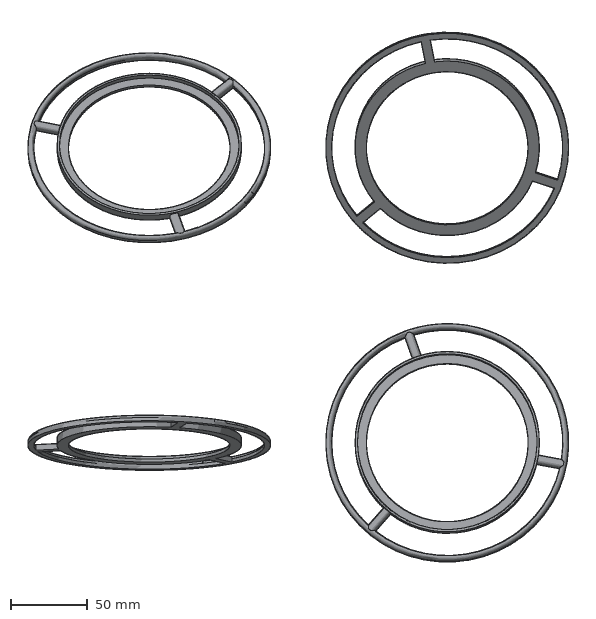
import cadquery as cq

outer_diameter = 158.0
bar_width = 4.0
bar_height = 4.1
round_radius = bar_width / 2
shoulder_height = bar_height - round_radius

seat_outer_diameter = 120.0
seat_bore_diameter = 116.8
opening_diameter = 105.0
seat_height = 5.0
seat_floor_height = 2.0

spoke_count = 3
spoke_width = 6.0
first_spoke_angle = 90.0

bar_center_radius = (outer_diameter - bar_width) / 2
spoke_start_radius = (seat_bore_diameter + seat_outer_diameter) / 4


def make_outer_ring():
    """Revolve the half-round bar section about the Z axis."""
    outer_radius = outer_diameter / 2
    inner_radius = outer_radius - bar_width
    return (
        cq.Workplane("XZ")
        .moveTo(inner_radius, 0)
        .lineTo(outer_radius, 0)
        .lineTo(outer_radius, shoulder_height)
        .threePointArc((bar_center_radius, bar_height), (inner_radius, shoulder_height))
        .close()
        .revolve(360, (0, 0, 0), (0, 1, 0))
    )


def make_seat_ring():
    """Inner ring with a shallow recess above its inward flange."""
    body = cq.Workplane("XY").circle(seat_outer_diameter / 2).extrude(seat_height)
    opening = cq.Workplane("XY").circle(opening_diameter / 2).extrude(seat_height)
    recess = (
        cq.Workplane("XY")
        .workplane(offset=seat_floor_height)
        .circle(seat_bore_diameter / 2)
        .extrude(seat_height - seat_floor_height)
    )
    return body.cut(opening).cut(recess)


def make_spoke(angle):
    """Bar with rounded upper edges, from the seat wall to the outer ring's crown."""
    length = bar_center_radius - spoke_start_radius
    return (
        cq.Workplane("XY")
        .box(length, spoke_width, bar_height, centered=(False, True, False))
        .edges("|X and >Z")
        .fillet(round_radius)
        .translate((spoke_start_radius, 0, 0))
        .rotate((0, 0, 0), (0, 0, 1), angle)
    )


result = make_outer_ring().union(make_seat_ring())
for index in range(spoke_count):
    spoke_angle = first_spoke_angle + index * 360.0 / spoke_count
    result = result.union(make_spoke(spoke_angle))